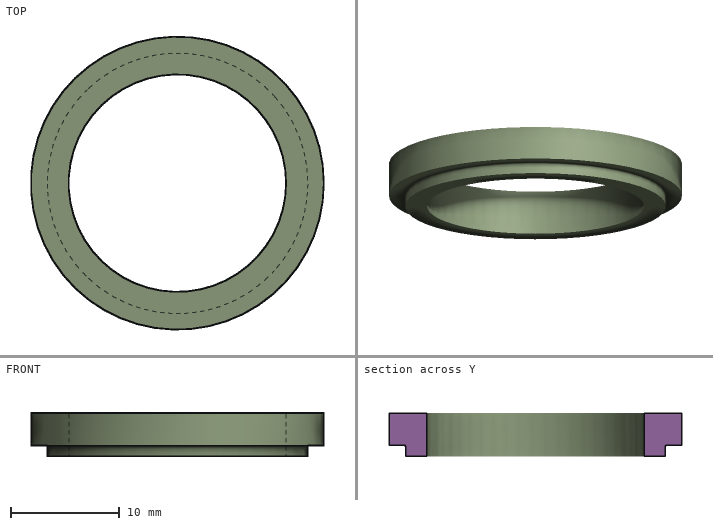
import cadquery as cq

flange_diameter = 27.0
spigot_diameter = 24.0
bore_diameter = 20.0
total_height = 4.0
spigot_height = 1.0
flange_height = total_height - spigot_height
shoulder_fillet_radius = 0.1


def make_ring(outer_diameter, height, base_z):
    """Flat ring around the common bore, standing on base_z."""
    return (
        cq.Workplane("XY")
        .workplane(offset=base_z)
        .circle(outer_diameter / 2)
        .circle(bore_diameter / 2)
        .extrude(height)
    )


def fillet_shoulder(body):
    """Round the inside corner where the spigot meets the flange underside."""
    shoulder_face = body.faces("|Z").faces(">Z[1]")
    return shoulder_face.edges(cq.selectors.RadiusNthSelector(0)).fillet(shoulder_fillet_radius)


spigot = make_ring(spigot_diameter, spigot_height, 0)
flange = make_ring(flange_diameter, flange_height, spigot_height)

result = fillet_shoulder(spigot.union(flange))